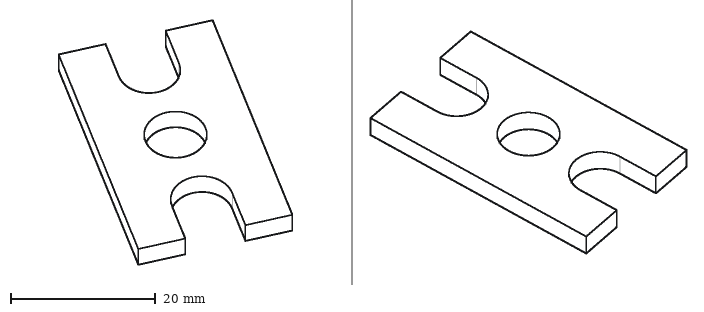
import cadquery as cq

length = 38.1
width = 22.2
thickness = 3.25

opening_diameter = 8.65
slot_depth = 10.7


def end_slot(side):
    """Round-bottomed slot open at the +X (side=1) or -X (side=-1) end face."""
    radius = opening_diameter / 2
    straight_depth = slot_depth - radius
    arc_center_x = side * (length / 2 - straight_depth)
    straight = (
        cq.Workplane("XY")
        .center(side * (length - straight_depth) / 2, 0)
        .rect(straight_depth, opening_diameter)
        .extrude(thickness)
    )
    round_end = cq.Workplane("XY").center(arc_center_x, 0).circle(radius).extrude(thickness)
    return straight.union(round_end)


plate = cq.Workplane("XY").box(length, width, thickness, centered=(True, True, False))
result = plate.faces(">Z").workplane().hole(opening_diameter)
for side in (-1, 1):
    result = result.cut(end_slot(side))